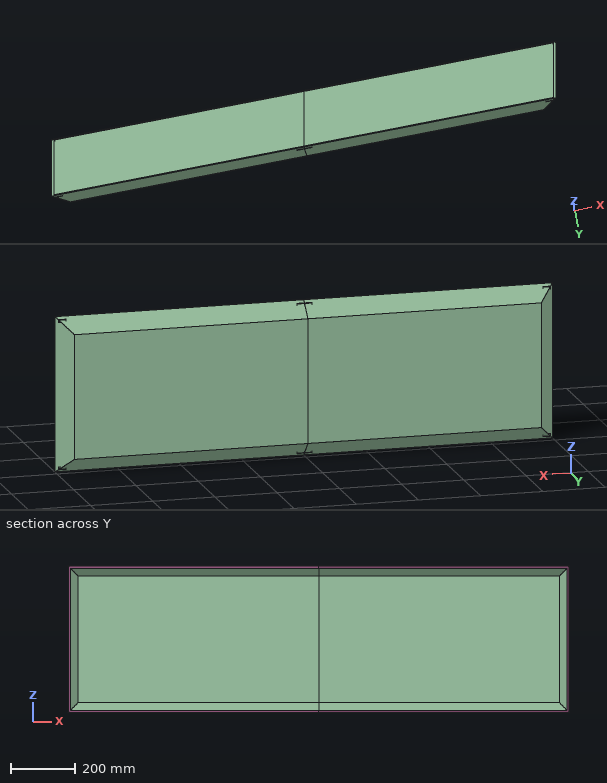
import cadquery as cq

LENGTH = 1600.0
HEIGHT = 500.0
DEPTH = 50.0

RIM = 8.0
BACK_THICKNESS = 5.0
PANEL_THICKNESS = 8.0

SLIT_LENGTH = 24.0
SLIT_WIDTH = 2.0
SLIT_POSITION = 10.0


def tapered_block(inset, depth):
    """Block whose four edges lean inward at 45 degrees from front to back."""
    length = LENGTH - 2 * inset
    height = HEIGHT - 2 * inset
    return (
        cq.Workplane("XZ")
        .rect(length, height)
        .workplane(offset=-depth)
        .rect(length - 2 * depth, height - 2 * depth)
        .loft(ruled=True, combine=True)
    )


def half_space(side):
    """Box covering one half of the assembly; side is -1 for left and 1 for right."""
    return cq.Workplane("XY").box(LENGTH / 2, 2 * DEPTH, HEIGHT).translate((side * LENGTH / 4, 0, 0))


def wall_slits(side):
    """Slits at both ends of the top and bottom walls of one tray."""
    outer_end = LENGTH / 2 - SLIT_POSITION
    wall_z = HEIGHT / 2 - SLIT_POSITION
    centers = [
        (side * x, SLIT_POSITION, z)
        for x in (SLIT_LENGTH / 2, outer_end - SLIT_LENGTH / 2)
        for z in (-wall_z, wall_z)
    ]
    slit = cq.Workplane("XY").box(SLIT_LENGTH, SLIT_WIDTH, 2 * RIM).val()
    return cq.Workplane("XY").pushPoints(centers).eachpoint(lambda place: slit.moved(place))


def make_tray(side):
    """Half of the shallow sloping shell, open at the front and at the center."""
    shell = tapered_block(0, DEPTH).cut(tapered_block(RIM, DEPTH - BACK_THICKNESS))
    return shell.intersect(half_space(side)).cut(wall_slits(side))


def make_panel(side):
    """Flat front plate that closes the mouth of one tray, flush with its rim."""
    return tapered_block(RIM, PANEL_THICKNESS).intersect(half_space(side))


SIDES = (-1, 1)
trays = [make_tray(side).val() for side in SIDES]
panels = [make_panel(side).val() for side in SIDES]

result = cq.Compound.makeCompound([*trays, *panels])